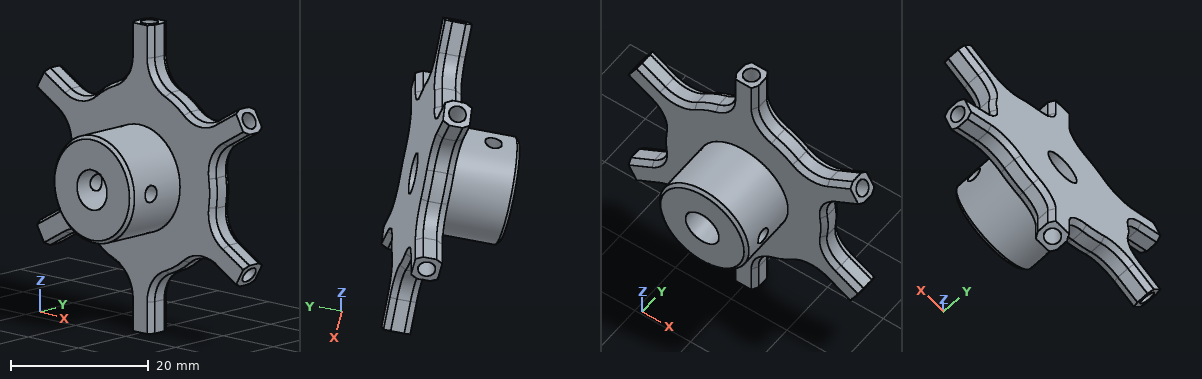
import cadquery as cq
import math

spoke_count = 6
spoke_pitch = 360 / spoke_count
tip_distance = 23.0
spoke_width = 4.0
plate_thickness = 4.0
plate_radius = 14.5
root_radius = 5.0

bevel_depth = plate_thickness / 4
bevel_angle = 30.0

hub_length = 10.1
hub_radius = 8.0
hub_chamfer = 0.5
bore_diameter = 6.0

set_screw_diameter = 2.5
set_screw_from_end = 4.0
tip_hole_diameter = 2.55
tip_hole_depth = 10.0
drill_point_angle = 118.0

trim_allowance = 4.6


def polar(radius, angle):
    """Point at a radius and an angle in degrees."""
    return (radius * math.cos(math.radians(angle)), radius * math.sin(math.radians(angle)))


def turned(point, angle):
    """Point rotated about the origin by an angle in degrees."""
    x, z = point
    c = math.cos(math.radians(angle))
    s = math.sin(math.radians(angle))
    return (x * c - z * s, x * s + z * c)


def mirrored(point):
    """Point reflected across the first axis."""
    return (point[0], -point[1])


def body_outline(plane):
    """Closed outline of the plate and its untrimmed spokes."""
    half_width = spoke_width / 2
    reach = tip_distance + trim_allowance

    fillet_offset = half_width + root_radius
    fillet_center_distance = plate_radius + root_radius
    fillet_angle = math.degrees(math.asin(fillet_offset / fillet_center_distance))
    center_x, center_z = polar(fillet_center_distance, fillet_angle)
    flank_tangent = (center_x, half_width)
    rim_tangent = polar(plate_radius, fillet_angle)
    mid_x, mid_z = polar(root_radius, (270 + 180 + fillet_angle) / 2)
    fillet_middle = (center_x + mid_x, center_z + mid_z)

    first_angle = 90 - spoke_pitch
    outline = cq.Workplane(plane).moveTo(*turned(mirrored(rim_tangent), first_angle))
    for i in range(spoke_count):
        angle = first_angle + i * spoke_pitch
        next_angle = angle + spoke_pitch
        outline = (
            outline
            .threePointArc(turned(mirrored(fillet_middle), angle), turned(mirrored(flank_tangent), angle))
            .lineTo(*turned((reach, -half_width), angle))
            .lineTo(*turned((reach, half_width), angle))
            .lineTo(*turned(flank_tangent, angle))
            .threePointArc(turned(fillet_middle, angle), turned(rim_tangent, angle))
            .threePointArc(
                polar(plate_radius, angle + spoke_pitch / 2),
                turned(mirrored(rim_tangent), next_angle),
            )
        )
    return outline.close()


def make_wheel():
    """Plate and spokes with bevelled edges, spoke ends trimmed flat."""
    middle = plate_thickness / 2
    half_core = middle - bevel_depth
    plane = cq.Plane(origin=(0, middle, 0), xDir=(1, 0, 0), normal=(0, -1, 0))

    core = body_outline(plane).extrude(half_core, both=True)
    front_plane = cq.Plane(origin=(0, middle - half_core, 0), xDir=(1, 0, 0), normal=(0, -1, 0))
    front = body_outline(front_plane).extrude(bevel_depth, taper=bevel_angle)
    back = front.mirror("XZ", (0, middle, 0))
    wheel = core.union(front).union(back)

    envelope = (
        cq.Workplane(plane)
        .polygon(spoke_count, 2 * tip_distance, circumscribed=True)
        .extrude(plate_thickness, both=True)
        .rotate((0, 0, 0), (0, 1, 0), spoke_pitch / 2)
    )
    return wheel.intersect(envelope)


def make_hub():
    return (
        cq.Workplane("XZ")
        .circle(hub_radius)
        .extrude(hub_length)
        .faces("<Y")
        .chamfer(hub_chamfer)
    )


def make_bore():
    return (
        cq.Workplane("XZ", origin=(0, plate_thickness, 0))
        .circle(bore_diameter / 2)
        .extrude(plate_thickness + hub_length)
    )


def make_set_screw_hole():
    """Cross hole along X through both walls of the hub."""
    return (
        cq.Workplane("YZ", origin=(0, set_screw_from_end - hub_length, 0))
        .circle(set_screw_diameter / 2)
        .extrude(hub_radius, both=True)
    )


def make_tip_hole(angle):
    """Blind drilled hole with a conical bottom, running in from a spoke end."""
    radius = tip_hole_diameter / 2
    bottom = tip_distance - tip_hole_depth
    point_height = radius / math.tan(math.radians(drill_point_angle / 2))
    return (
        cq.Workplane("XZ", origin=(0, plate_thickness / 2, 0))
        .moveTo(0, tip_distance)
        .lineTo(radius, tip_distance)
        .lineTo(radius, bottom)
        .lineTo(0, bottom - point_height)
        .close()
        .revolve(360, (0, 0, 0), (0, 1, 0))
        .rotate((0, 0, 0), (0, 1, 0), angle)
    )


result = make_wheel().union(make_hub()).cut(make_bore()).cut(make_set_screw_hole())
for spoke in range(spoke_count):
    result = result.cut(make_tip_hole(spoke * spoke_pitch))